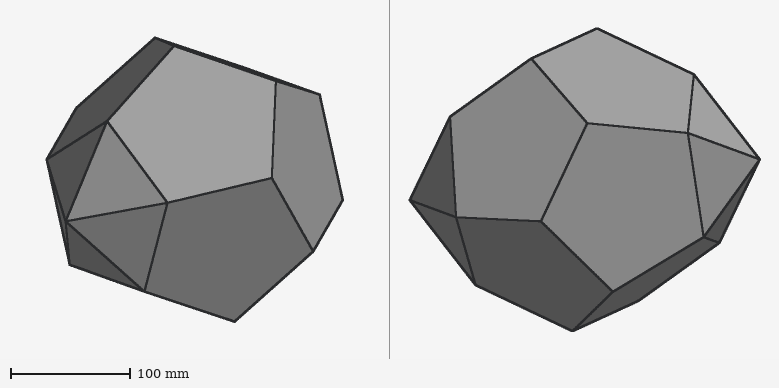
import cadquery as cq
import math

LENGTH = 298.5
SIDES = 5
STEP = 360 / SIDES
GOLDEN = (1 + math.sqrt(5)) / 2

unit_cap_radius = 1 / (2 * math.sin(math.pi / SIDES))
unit_cap_offset = math.sqrt(250 + 110 * math.sqrt(5)) / 20
unit_pyramid_height = math.sqrt(1 - unit_cap_radius**2)

edge = LENGTH / (2 * (unit_cap_offset + unit_pyramid_height))
cap_radius = edge * unit_cap_radius
cap_offset = edge * unit_cap_offset
belt_radius = GOLDEN * cap_radius
belt_offset = cap_offset / GOLDEN**3


def pentagon(radius, y, first_angle):
    """Corners of a regular pentagon about the Y axis."""
    angles = [math.radians(first_angle + STEP * i) for i in range(SIDES)]
    return [cq.Vector(radius * math.cos(a), y, radius * math.sin(a)) for a in angles]


def flat_face(*corners):
    return cq.Face.makeFromWires(cq.Wire.makePolygon(corners, close=True))


front_angle = 90
back_angle = front_angle + STEP / 2
front_cap = pentagon(cap_radius, -cap_offset, front_angle)
front_belt = pentagon(belt_radius, -belt_offset, front_angle)
back_belt = pentagon(belt_radius, belt_offset, back_angle)
back_cap = pentagon(cap_radius, cap_offset, back_angle)
front_apex = cq.Vector(0, -LENGTH / 2, 0)
back_apex = cq.Vector(0, LENGTH / 2, 0)

faces = []
for i in range(SIDES):
    j = (i + 1) % SIDES
    faces.append(flat_face(front_apex, front_cap[i], front_cap[j]))
    faces.append(flat_face(back_apex, back_cap[j], back_cap[i]))
    faces.append(flat_face(front_cap[i], front_belt[i], back_belt[i], front_belt[j], front_cap[j]))
    faces.append(flat_face(back_cap[j], back_belt[j], front_belt[j], back_belt[i], back_cap[i]))

result = cq.Workplane(obj=cq.Solid.makeSolid(cq.Shell.makeShell(faces)))